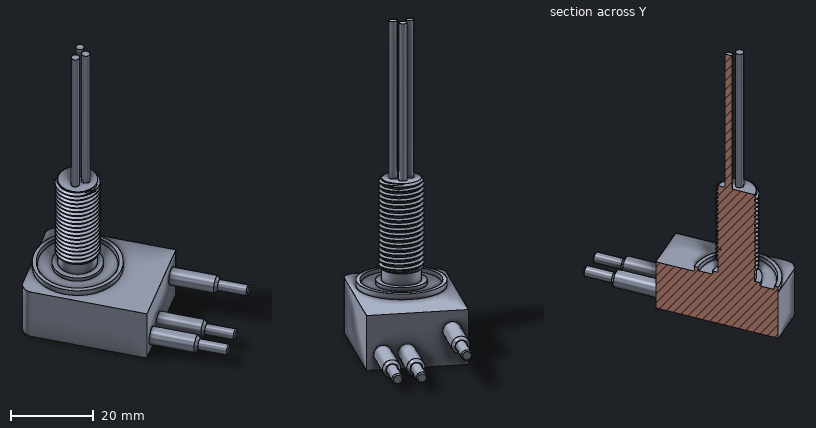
import cadquery as cq
import math

block_length = 32.0
block_width = 25.0
block_height = 14.0
block_corner_radius = 3.0

flange_diameter = 22
flange_height = 1.5
recess_diameter = 20.0
recess_floor_diameter = 19.5
recess_depth = 1.0
boss_diameter = 12.5

neck_height = 3.0
thread_length = 23.0
thread_diameter = 11.0
thread_pitch = 1.25
flank_angle = math.radians(30)
thread_depth = 5 / 16 * thread_pitch / math.tan(flank_angle)
ridge_embed = 0.1

overall_height = 81.5
wire_diameter = 2.0
wire_offset = 2.0

overall_length = 51.5
sleeve_diameter = 4.5
sleeve_length = 12.0
sleeve_chamfer = 0.7
pin_diameter = 2.8
pin_tip_chamfer = 0.3
outer_pin_y = 8.5
inner_pin_y = -2.5
low_pin_z = 4.0
high_pin_z = 9
pin_places = [(outer_pin_y, high_pin_z), (inner_pin_y, low_pin_z), (-outer_pin_y, low_pin_z)]

stem_x = flange_diameter / 2
flange_top = block_height + flange_height
thread_bottom = flange_top + neck_height
thread_top = thread_bottom + thread_length
root_diameter = thread_diameter - 2 * thread_depth


def cylinder(diameter, bottom, top):
    """Upright cylinder on the stem axis."""
    return cq.Workplane("XY", origin=(stem_x, 0, bottom)).circle(diameter / 2).extrude(top - bottom)


def make_block():
    """Block with rounded upright corners at the flange end."""
    block = cq.Workplane("XY").box(block_length, block_width, block_height, centered=(False, True, False))
    return block.edges("|Z and <X").fillet(block_corner_radius)


def make_flange():
    """Rimmed disc with a tapered recess around a central boss."""
    recess_floor = flange_top - recess_depth
    recess = (
        cq.Workplane("XY", origin=(stem_x, 0, recess_floor))
        .circle(recess_floor_diameter / 2)
        .workplane(offset=recess_depth)
        .circle(recess_diameter / 2)
        .loft()
    )
    disc = cylinder(flange_diameter, block_height, flange_top).cut(recess)
    return disc.union(cylinder(boss_diameter, block_height, flange_top))


def make_thread():
    """Right-hand 60 degree thread: a helical ridge on a core, trimmed to 45 degree cones at both ends."""
    root_radius = root_diameter / 2
    crest_radius = thread_diameter / 2
    crest_half_width = thread_pitch / 16
    foot_radius = root_radius - ridge_embed
    foot_half_width = crest_half_width + (crest_radius - foot_radius) * math.tan(flank_angle)

    run_out = 2 * thread_pitch
    path = cq.Workplane(cq.Wire.makeHelix(thread_pitch, thread_length + 2 * run_out, foot_radius))
    ridge = (
        cq.Workplane("XZ")
        .polyline([
            (foot_radius, -foot_half_width),
            (crest_radius, -crest_half_width),
            (crest_radius, crest_half_width),
            (foot_radius, foot_half_width),
        ])
        .close()
        .sweep(path, isFrenet=True)
        .translate((stem_x, 0, thread_bottom - run_out))
    )

    cone_rise = 2 * thread_depth
    envelope = (
        cq.Workplane("XZ", origin=(stem_x, 0, 0))
        .moveTo(0, thread_bottom)
        .lineTo(root_radius, thread_bottom)
        .lineTo(root_radius + cone_rise, thread_bottom + cone_rise)
        .lineTo(root_radius + cone_rise, thread_top - cone_rise)
        .lineTo(root_radius, thread_top)
        .lineTo(0, thread_top)
        .close()
        .revolve(360, (0, 0, 0), (0, 1, 0))
    )
    core = cylinder(root_diameter, block_height, thread_top)
    return core.union(ridge.intersect(envelope))


def make_wires():
    """Three wires rising from the top of the stem."""
    wire_places = [(0, wire_offset), (wire_offset, 0), (0, -wire_offset)]
    return (
        cq.Workplane("XY", origin=(stem_x, 0, thread_top))
        .pushPoints(wire_places)
        .circle(wire_diameter / 2)
        .extrude(overall_height - thread_top)
    )


def make_pin(y, z):
    """Chamfered sleeve and slimmer contact tip as one revolved profile."""
    sleeve_end = block_length + sleeve_length
    profile = (
        cq.Workplane("XY")
        .moveTo(block_length, 0)
        .lineTo(block_length, sleeve_diameter / 2)
        .lineTo(sleeve_end - sleeve_chamfer, sleeve_diameter / 2)
        .lineTo(sleeve_end, sleeve_diameter / 2 - sleeve_chamfer)
        .lineTo(sleeve_end, pin_diameter / 2)
        .lineTo(overall_length - pin_tip_chamfer, pin_diameter / 2)
        .lineTo(overall_length, pin_diameter / 2 - pin_tip_chamfer)
        .lineTo(overall_length, 0)
        .close()
    )
    return profile.revolve(360, (0, 0, 0), (1, 0, 0)).translate((0, y, z))


result = make_block().union(make_flange())
result = result.union(make_thread()).union(make_wires())
for pin_y, pin_z in pin_places:
    result = result.union(make_pin(pin_y, pin_z))